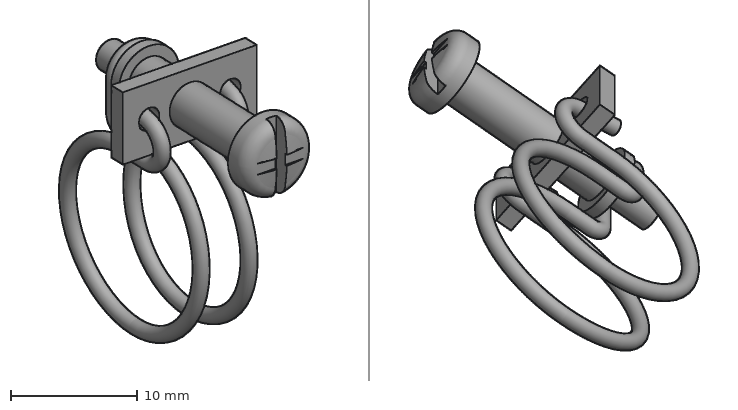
import cadquery as cq
import math


wire_radius = 0.7
ring_radius = 8.22
ring_outer_y = 3.74
ring_bottom_y = 2.65
leg_y = 2.1
leg_bend_radius = 1.21
hook_y = 4.03
hook_bend_x = 3.07
hook_bend_radius = 2.0
hook_tail_angle = math.radians(14.5)
hook_end_x = 0.0

axis_z = 12.38
tip_x = -6.9
tip_radius = 1.398
collar_x = -2.8
collar_thickness = 1.01
collar_radius = 3.0
shank_radius = 2.0
head_x = 13.2
head_radius = 3.46
head_rim_length = 1.11
head_round = 1.2
dome_top_x = 15.72
slot_width = 1.0

plate_x = 2.08
plate_thickness = 1.5
plate_width = 13.3
plate_height = 6.48
hook_hole_radius = 1.01

loop_x = collar_x - wire_radius - 0.02
rim_end_x = head_x + head_rim_length
dome_edge_x = rim_end_x + head_round


def make_screw():
    """Stepped pin with a collar and a domed, cross-slotted head."""
    collar_end_x = collar_x + collar_thickness
    dome_edge_radius = head_radius - head_round
    dome_rise = dome_top_x - dome_edge_x
    dome_radius = (dome_edge_radius**2 + dome_rise**2) / (2 * dome_rise)
    middle_radius = dome_edge_radius / 2
    middle_x = dome_top_x - dome_radius + math.sqrt(dome_radius**2 - middle_radius**2)
    body = (
        cq.Workplane("XY")
        .moveTo(tip_x, 0)
        .lineTo(tip_x, tip_radius)
        .lineTo(collar_x, tip_radius)
        .lineTo(collar_x, collar_radius)
        .lineTo(collar_end_x, collar_radius)
        .lineTo(collar_end_x, shank_radius)
        .lineTo(head_x, shank_radius)
        .lineTo(head_x, head_radius)
        .lineTo(rim_end_x, head_radius)
        .tangentArcPoint((dome_edge_x, dome_edge_radius), relative=False)
        .threePointArc((middle_x, middle_radius), (dome_top_x, 0))
        .close()
        .revolve(360, (0, 0, 0), (1, 0, 0))
    )
    slot_span = 2 * head_radius
    slot_depth_allowance = 2 * head_round
    deep_slot = cq.Workplane("XY").box(
        slot_depth_allowance, slot_width, slot_span, centered=(False, True, True)
    ).translate((rim_end_x, 0, 0))
    shallow_slot = cq.Workplane("XY").box(
        slot_depth_allowance, slot_span, slot_width, centered=(False, True, True)
    ).translate((dome_edge_x, 0, 0))
    return body.cut(deep_slot).cut(shallow_slot).translate((0, 0, axis_z))


def make_plate():
    """Flat plate with a bore for the screw and a hole for each hook."""
    plate = cq.Workplane("YZ", origin=(plate_x, 0, axis_z)).rect(plate_width, plate_height)
    plate = plate.extrude(plate_thickness)
    plate = plate.faces("<X").workplane(origin=(plate_x, 0, axis_z)).hole(2 * shank_radius)
    return (
        plate.faces("<X")
        .workplane(origin=(plate_x, 0, axis_z))
        .pushPoints([(-hook_y, 0), (hook_y, 0)])
        .hole(2 * hook_hole_radius)
    )


def half_ring(top_y, side):
    """Semicircle from ring top to ring bottom, tilted in Y; side is -1 for -X, +1 for +X."""
    reach = math.hypot(ring_radius, (top_y - ring_bottom_y) / 2)
    return cq.Edge.makeThreePointArc(
        cq.Vector(0, top_y, ring_radius),
        cq.Vector(side * reach, (top_y + ring_bottom_y) / 2, 0),
        cq.Vector(0, ring_bottom_y, -ring_radius),
    )


def make_wire():
    """One round wire: hook, ring and leg on +Y, the U loop, then the same mirrored on -Y."""
    lean = math.atan2(hook_y - ring_outer_y, axis_z - ring_radius)

    def hook_point(x, height):
        """Point in the outward-leaning plane of the hook, at a height above its foot."""
        return cq.Vector(
            x,
            ring_outer_y + height * math.sin(lean),
            ring_radius + height * math.cos(lean),
        )

    tail_start_x = hook_bend_x + hook_bend_radius * math.sin(hook_tail_angle)
    tail_start_height = hook_bend_radius * (1 + math.cos(hook_tail_angle))
    tail_rise = (tail_start_x - hook_end_x) * math.tan(hook_tail_angle)
    tail_start = hook_point(tail_start_x, tail_start_height)
    hook_end = hook_point(hook_end_x, tail_start_height + tail_rise)
    hook_middle = hook_point(hook_bend_x + hook_bend_radius, hook_bend_radius)
    hook_foot = hook_point(hook_bend_x, 0)
    hook_bend = cq.Edge.makeThreePointArc(tail_start, hook_middle, hook_foot)

    along_minus_x = cq.Vector(-1, 0, 0)
    ring_start = cq.Vector(0, ring_outer_y, ring_radius)
    lead_in = cq.Edge.makeLine(hook_foot, ring_start)

    ring_end = cq.Vector(0, leg_y, ring_radius)
    foot_start = cq.Vector(loop_x + leg_bend_radius, leg_y, ring_radius)
    leg_bottom = cq.Vector(loop_x, leg_y, ring_radius + leg_bend_radius)
    leg_top = cq.Vector(loop_x, leg_y, axis_z)

    half_path = [
        cq.Edge.makeLine(hook_end, tail_start),
        hook_bend,
        lead_in,
        half_ring(ring_outer_y, -1),
        half_ring(leg_y, 1),
        cq.Edge.makeLine(ring_end, foot_start),
        cq.Edge.makeTangentArc(foot_start, along_minus_x, leg_bottom),
        cq.Edge.makeLine(leg_bottom, leg_top),
    ]
    loop_top = cq.Edge.makeThreePointArc(
        leg_top,
        cq.Vector(loop_x, 0, axis_z + leg_y),
        cq.Vector(loop_x, -leg_y, axis_z),
    )
    mirrored_path = [edge.mirror("XZ") for edge in reversed(half_path)]
    path = cq.Wire.assembleEdges(half_path + [loop_top] + mirrored_path)
    end_plane = cq.Plane(origin=hook_end, xDir=(0, 1, 0), normal=tail_start - hook_end)
    return cq.Workplane(end_plane).circle(wire_radius).sweep(cq.Workplane(path))


screw = make_screw()
plate = make_plate()
wire = make_wire()

result = cq.Compound.makeCompound([screw.val(), plate.val(), wire.val()])